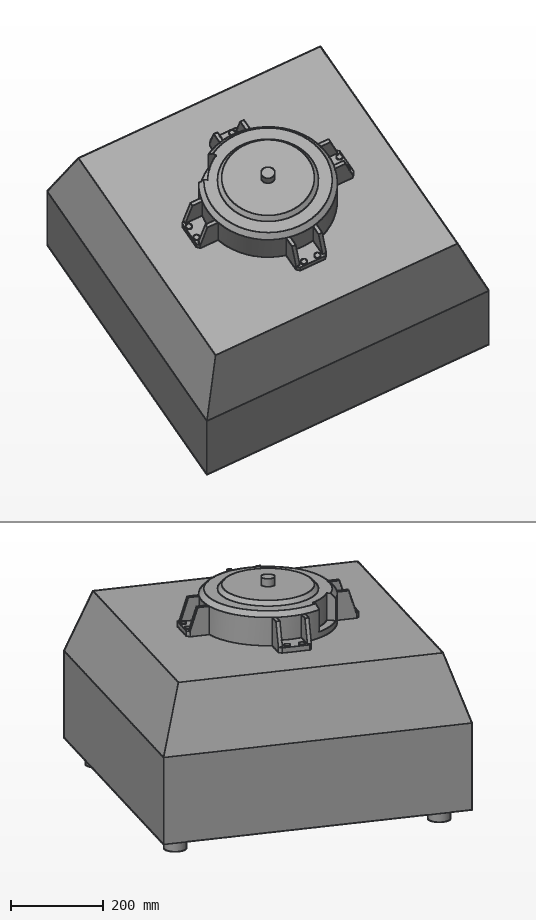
import cadquery as cq
import math

side = 700.0
box_height = 200.0
taper_height = 150.0
deck_side = 600.5
deck_z = box_height + taper_height

foot_diameter = 50.0
foot_height = 40.0
foot_x = 275.0
foot_y = 299.5

drum_radius = 150.0
drum_chamfer = 11.0
drum_height = 76.0
shoulder_height = drum_height - drum_chamfer
cap_radius = 109.0
cap_chamfer = 9.0
cap_height = 86.0
pin_diameter = 30.0
pin_height = 104.0

window_inner_radius = 130.0
window_floor = 14.0
window_centre_angle = 225.0
window_half_angle = 15.0
window_overcut = 7.0

bracket_count = 4
bracket_width = 75.0
plate_reach = 195.0
plate_thickness = 12.0
corner_chamfer = 6.0
cheek_thickness = 9.0
cheek_top_reach = 171.5
cheek_foot_reach = plate_reach - corner_chamfer
bolt_diameter = 14.0
bolt_head_height = 3.0
bolt_reach = 187.0
bolt_spacing = 33.5


def make_housing():
    box = cq.Workplane("XY").rect(side, side).extrude(box_height)
    taper = (
        cq.Workplane("XY", origin=(0, 0, box_height))
        .rect(side, side)
        .workplane(offset=taper_height)
        .rect(deck_side, deck_side)
        .loft(ruled=True)
    )
    return box.union(taper)


def make_feet():
    return (
        cq.Workplane("XY")
        .rect(2 * foot_x, 2 * foot_y, forConstruction=True)
        .vertices()
        .circle(foot_diameter / 2)
        .extrude(-foot_height)
    )


def make_head():
    """Drum, cap and centre pin, turned in one piece about the vertical axis."""
    pin_radius = pin_diameter / 2
    return (
        cq.Workplane("XZ")
        .polyline([
            (0, 0),
            (drum_radius, 0),
            (drum_radius, shoulder_height),
            (drum_radius - drum_chamfer, drum_height),
            (cap_radius, drum_height),
            (cap_radius - cap_chamfer, cap_height),
            (pin_radius, cap_height),
            (pin_radius, pin_height),
            (0, pin_height),
        ])
        .close()
        .revolve(360, (0, 0, 0), (0, 1, 0))
    )


def make_window():
    """Ring sector that opens the drum wall from the window floor upwards."""
    outer_radius = drum_radius + window_overcut

    def point(radius, offset):
        angle = math.radians(window_centre_angle + offset)
        return (radius * math.cos(angle), radius * math.sin(angle))

    return (
        cq.Workplane("XY", origin=(0, 0, window_floor))
        .moveTo(*point(window_inner_radius, -window_half_angle))
        .lineTo(*point(outer_radius, -window_half_angle))
        .threePointArc(point(outer_radius, 0), point(outer_radius, window_half_angle))
        .lineTo(*point(window_inner_radius, window_half_angle))
        .threePointArc(point(window_inner_radius, 0), point(window_inner_radius, -window_half_angle))
        .close()
        .extrude(drum_height - window_floor)
    )


def make_bracket():
    """Bracket on the +X side: a base plate between two sloped cheeks, with two bolt heads."""
    root = window_inner_radius
    plate = (
        cq.Workplane("XY")
        .center((root + plate_reach) / 2, 0)
        .rect(plate_reach - root, bracket_width)
        .extrude(plate_thickness)
        .edges("|Z and >X")
        .chamfer(corner_chamfer)
    )
    cheek = (
        cq.Workplane("XZ", origin=(0, bracket_width / 2, 0))
        .polyline([
            (root, plate_thickness),
            (cheek_foot_reach, plate_thickness),
            (cheek_top_reach, shoulder_height),
            (root, shoulder_height),
        ])
        .close()
        .extrude(cheek_thickness)
    )
    bolt_heads = (
        cq.Workplane("XY", origin=(bolt_reach, 0, plate_thickness))
        .rarray(7, bolt_spacing, 1, 2)
        .circle(bolt_diameter / 2)
        .extrude(bolt_head_height)
    )
    return plate.union(cheek).union(cheek.mirror("XZ")).union(bolt_heads)


head = make_head()
bracket = make_bracket()
for index in range(bracket_count):
    angle = index * 360 / bracket_count
    head = head.union(bracket.rotate((0, 0, 0), (0, 0, 1), angle))
head = head.cut(make_window())

result = make_housing().union(make_feet()).union(head.translate((0, 0, deck_z)))